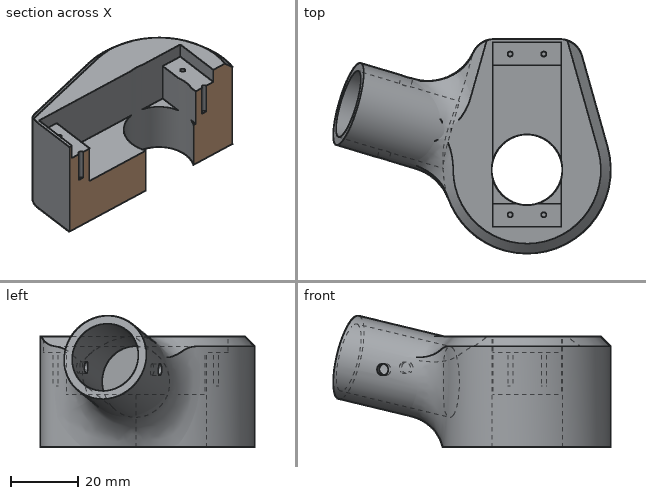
import cadquery as cq
import math

round_radius = 25.0
back_y = 39.0
back_corner_x = 15.0
height = 33.0
rim_chamfer = 3.0
rim_angle = 45.0
back_corner_fillet = 7.0

pocket_width = 20.55
pocket_length = 54.9
pocket_centre_y = 10.55
ledge_depth = 4.7
well_length = 41.2
well_depth = 17.3
screw_diameter = 1.5
screw_spacing_x = 10.0
screw_spacing_y = 47.9
screw_depth = 10.0
horn_hole_diameter = 21.0

socket_outer_diameter = 25.55
socket_bore_diameter = 20.55
socket_tilt = math.radians(13.0)
socket_swing = math.radians(16.6)
socket_mouth = cq.Vector(-53.2, 19.6, 26.75)
socket_length = 40.0
pin_diameter = 3.5
pin_distance = 14.8
pin_tilt = math.radians(1.5)
wall_junction_fillet = 15.0
rim_junction_fillet = 10.0

corner_distance = math.hypot(back_corner_x, back_y)
wall_angle = math.atan2(back_y, back_corner_x) - math.acos(round_radius / corner_distance)

spare = 20.0
tolerance = 0.01

socket_inward = cq.Vector(
    math.cos(socket_swing) * math.cos(socket_tilt),
    -math.sin(socket_swing) * math.cos(socket_tilt),
    -math.sin(socket_tilt),
)
pin_axis = cq.Vector(
    math.sin(socket_swing) * math.cos(pin_tilt),
    math.cos(socket_swing) * math.cos(pin_tilt),
    math.sin(pin_tilt),
)


def teardrop(radius, rear_y, z):
    """Teardrop outline whose round end has the given radius, drawn at height z."""
    tangent_x = radius * math.cos(wall_angle)
    tangent_y = radius * math.sin(wall_angle)
    rear_x = tangent_x - (rear_y - tangent_y) * math.tan(wall_angle)
    return (
        cq.Workplane("XY", origin=(0, 0, z))
        .moveTo(rear_x, rear_y)
        .lineTo(-rear_x, rear_y)
        .lineTo(-tangent_x, tangent_y)
        .threePointArc((0, -radius), (tangent_x, tangent_y))
        .close()
    )


def socket_cylinder(diameter, length, overhang=0.0):
    """Cylinder on the socket axis, from overhang outside the mouth to length inside it."""
    start = socket_mouth - socket_inward * overhang
    return cq.Workplane(
        cq.Solid.makeCylinder(diameter / 2, length + overhang, start, socket_inward)
    )


def on_socket_junction(edge):
    """True for an edge where the socket's outer wall meets a block."""
    if edge.geomType() == "LINE":
        return False
    for fraction in (0.0, 0.3, 0.7, 1.0):
        offset = edge.positionAt(fraction) - socket_mouth
        inward_distance = offset.dot(socket_inward)
        axis_distance = (offset - socket_inward * inward_distance).Length
        if inward_distance <= 0 or abs(axis_distance - socket_outer_diameter / 2) > tolerance:
            return False
    return True


def blend_with_socket(block, radius, overhang=0.0):
    """Join the block to the socket and round the corner between them."""
    joined = block.union(socket_cylinder(socket_outer_diameter, socket_length, overhang))
    junction = [edge for edge in joined.edges().vals() if on_socket_junction(edge)]
    return joined.newObject(junction).fillet(radius)


def walls_with_socket():
    """Upright walls, over-long up and down, blended with the socket."""
    walls = teardrop(round_radius, back_y, -spare).extrude(height + 2 * spare)
    walls = walls.edges("|Z and >Y").fillet(back_corner_fillet)
    return blend_with_socket(walls, wall_junction_fillet)


def rim_with_socket():
    """The 45 degree rim surface, carried on down and up, blended with the socket."""
    base_radius = round_radius - rim_chamfer + height
    rim = teardrop(base_radius, back_y + 2 * spare, 0)
    rim = rim.extrude(height + rim_chamfer, taper=rim_angle)
    return blend_with_socket(rim, rim_junction_fillet, spare)


def below_top_or_in_socket():
    """Everything between base and top, plus the socket where it stands higher."""
    slab_size = 8 * round_radius
    slab = cq.Workplane("XY").rect(slab_size, slab_size).extrude(height)
    return slab.union(socket_cylinder(socket_outer_diameter, socket_length))


def outer_shape():
    return walls_with_socket().intersect(rim_with_socket()).intersect(below_top_or_in_socket())


def pocket_block(length, depth):
    return (
        cq.Workplane("XY", origin=(0, pocket_centre_y, height - depth))
        .rect(pocket_width, length)
        .extrude(depth)
    )


def screw_holes():
    return (
        cq.Workplane("XY", origin=(0, pocket_centre_y, height - ledge_depth))
        .rect(screw_spacing_x, screw_spacing_y, forConstruction=True)
        .vertices()
        .circle(screw_diameter / 2)
        .extrude(-screw_depth)
    )


def horn_hole():
    return cq.Workplane("XY").circle(horn_hole_diameter / 2).extrude(height)


def socket_bore():
    """Bore down the socket, stopping at the housing's own wall and rim."""
    housing = teardrop(round_radius, back_y, 0).extrude(height)
    housing = housing.faces(">Z").edges("not >Y").chamfer(rim_chamfer)
    return socket_cylinder(socket_bore_diameter, socket_length).cut(housing)


def pin_hole():
    """Cross hole through both socket walls, nearly level."""
    start = socket_mouth + socket_inward * pin_distance - pin_axis * socket_outer_diameter
    length = 2 * socket_outer_diameter
    return cq.Workplane(cq.Solid.makeCylinder(pin_diameter / 2, length, start, pin_axis))


result = (
    outer_shape()
    .cut(pocket_block(pocket_length, ledge_depth))
    .cut(pocket_block(well_length, well_depth))
    .cut(screw_holes())
    .cut(horn_hole())
    .cut(socket_bore())
    .cut(pin_hole())
)